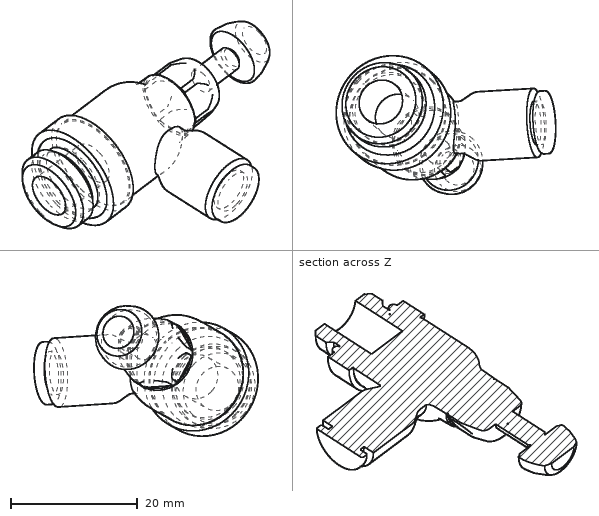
import cadquery as cq
import math

total_length = 47.9
total_width = 30.7
total_depth = 17.5

thread_radius = 6.55
thread_chamfer = 0.85
thread_length = 3.1
relief_radius = 5.7
bore_radius = 3.55

flange_radius = total_depth / 2
flange_bottom = 5.5
flange_top = 10.1
seal_outer_radius = 7.35

body_radius = 7.9
body_edge_chamfer = 0.15
shoulder_bottom = 20.2
shoulder_radius = 6.2
shoulder_top = 24.35
collar_radius = 5.65
collar_bottom = 25.6
collar_top_radius = 5.55
collar_top = 28.2
collar_chamfer = 0.25

nut_diameter = 11.05
nut_radius = nut_diameter / 2
nut_across_flats = 10.0
hexagon_turn = 30.0
nut_corner_top = 31.1
nut_crown_mid = (5.15, 32.75)
nut_crown_end = (4.7, 34.45)
nut_rim_mid = (4.35, 35.0)
nut_top_radius = 3.6
nut_top = 35.35

stem_radius = 2.0
stem_chamfer_width = 0.4
stem_chamfer_height = 0.45
knob_bottom = 42.65
knob_bottom_radius = 4.2
knob_bead_top = (4.6, 42.95)
knob_lip_mid = (4.85, 42.95)
knob_radius = 5.1
knob_lip_top = 43.35
knob_side_mid = (4.7, 45.45)
knob_shoulder_radius = 3.75
knob_shoulder = 47.5
knob_top_radius = 2.6

port_axis_y = shoulder_bottom
port_neck_radius = 4.1
port_neck_end = 7.55
port_cone_angle = math.radians(30)
port_inner_blend = 1.72
port_outer_blend = 2.0
port_tube_radius = 5.45
port_tube_end = 19.9
port_groove_radius = 3.45
release_ring_start = 20.7
release_ring_radius = 5.0
release_ring_fillet = 0.3
port_end = total_width - flange_radius


def stem_profile(start_y):
    """Start a half outline at (0, start_y), to be revolved about the Y axis."""
    return cq.Workplane("XY").moveTo(0, start_y)


def revolve_stem(outline):
    return outline.close().revolve(360, (0, 0, 0), (0, 1, 0))


def make_threaded_end():
    relief_bottom = thread_length + thread_radius - relief_radius
    return revolve_stem(
        stem_profile(0)
        .lineTo(thread_radius - thread_chamfer, 0)
        .lineTo(thread_radius, thread_chamfer)
        .lineTo(thread_radius, thread_length)
        .lineTo(relief_radius, relief_bottom)
        .lineTo(relief_radius, flange_bottom)
        .lineTo(0, flange_bottom)
    )


def make_flange():
    """Flange with the exposed half of the round sealing ring under it."""
    seal_section_radius = (seal_outer_radius - relief_radius) / 2
    seal_centre_radius = relief_radius + seal_section_radius
    return revolve_stem(
        stem_profile(flange_bottom)
        .lineTo(relief_radius, flange_bottom)
        .threePointArc(
            (seal_centre_radius, flange_bottom - seal_section_radius),
            (seal_outer_radius, flange_bottom),
        )
        .lineTo(flange_radius, flange_bottom)
        .lineTo(flange_radius, flange_top)
        .lineTo(0, flange_top)
    )


def make_body():
    """Cylinder that blends through an S-shaped shoulder into a slightly tapered collar."""
    return revolve_stem(
        stem_profile(flange_top)
        .lineTo(body_radius - body_edge_chamfer, flange_top)
        .lineTo(body_radius, flange_top + body_edge_chamfer)
        .lineTo(body_radius, shoulder_bottom)
        .tangentArcPoint((shoulder_radius, shoulder_top), relative=False)
        .tangentArcPoint((collar_radius, collar_bottom), relative=False)
        .lineTo(collar_top_radius, collar_top - collar_chamfer)
        .lineTo(collar_top_radius - collar_chamfer, collar_top)
        .lineTo(0, collar_top)
    )


def make_nut():
    """Domed round nut cut by a hexagon whose flats include the +Z and -Z sides."""
    round_nut = revolve_stem(
        stem_profile(collar_top)
        .lineTo(nut_radius, collar_top)
        .lineTo(nut_radius, nut_corner_top)
        .threePointArc(nut_crown_mid, nut_crown_end)
        .threePointArc(nut_rim_mid, (nut_top_radius, nut_top))
        .lineTo(0, nut_top)
    )
    hexagon = (
        cq.Workplane("XZ", origin=(0, collar_top, 0))
        .polygon(6, nut_across_flats, circumscribed=True)
        .extrude(collar_top - nut_top)
        .rotate((0, 0, 0), (0, 1, 0), hexagon_turn)
    )
    return round_nut.intersect(hexagon)


def make_stem_and_knob():
    """Chamfered stem with a knob that has a bevelled top and a stepped, rounded lower rim."""
    return revolve_stem(
        stem_profile(nut_top)
        .lineTo(stem_radius, nut_top)
        .lineTo(stem_radius, knob_bottom - stem_chamfer_height)
        .lineTo(stem_radius - stem_chamfer_width, knob_bottom)
        .lineTo(knob_bottom_radius, knob_bottom)
        .tangentArcPoint(knob_bead_top, relative=False)
        .threePointArc(knob_lip_mid, (knob_radius, knob_lip_top))
        .threePointArc(knob_side_mid, (knob_shoulder_radius, knob_shoulder))
        .lineTo(knob_top_radius, total_length)
        .lineTo(0, total_length)
    )


def make_port():
    """Side port: neck, blended cone, tube, groove and release ring along +X."""

    def blend_run(radius):
        return radius * math.sin(port_cone_angle)

    def blend_rise(radius):
        return radius * (1 - math.cos(port_cone_angle))

    cone_start = port_neck_end + blend_run(port_inner_blend)
    cone_start_radius = port_neck_radius + blend_rise(port_inner_blend)
    cone_end_radius = port_tube_radius - blend_rise(port_outer_blend)
    cone_end = cone_start + (cone_end_radius - cone_start_radius) / math.tan(port_cone_angle)
    tube_start = cone_end + blend_run(port_outer_blend)
    port = (
        cq.Workplane("XY", origin=(0, port_axis_y, 0))
        .lineTo(0, port_neck_radius)
        .lineTo(port_neck_end, port_neck_radius)
        .tangentArcPoint((cone_start, cone_start_radius), relative=False)
        .lineTo(cone_end, cone_end_radius)
        .tangentArcPoint((tube_start, port_tube_radius), relative=False)
        .lineTo(port_tube_end, port_tube_radius)
        .lineTo(port_tube_end, port_groove_radius)
        .lineTo(port_end, port_groove_radius)
        .lineTo(port_end, 0)
        .close()
        .revolve(360, (0, 0, 0), (1, 0, 0))
    )
    release_ring = (
        cq.Workplane("YZ", origin=(release_ring_start, port_axis_y, 0))
        .circle(release_ring_radius)
        .extrude(port_end - release_ring_start)
        .edges()
        .fillet(release_ring_fillet)
    )
    return port.union(release_ring)


def make_bore():
    """Blind bore through the threaded end and the flange."""
    return cq.Workplane("XZ").circle(bore_radius).extrude(-flange_top)


result = (
    make_threaded_end()
    .union(make_flange())
    .union(make_body())
    .union(make_nut())
    .union(make_stem_and_knob())
    .union(make_port())
    .cut(make_bore())
)